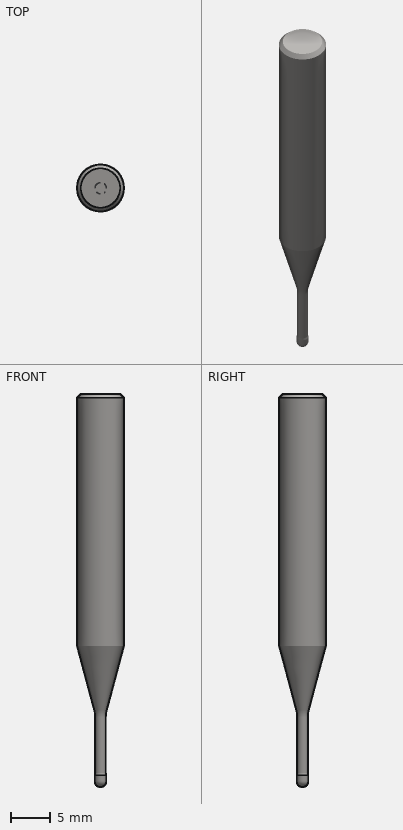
import cadquery as cq
import math

overall_length = 50.0
shank_diameter = 6.0
shank_chamfer = 0.5
ball_diameter = 1.5
cutting_length = 1.5
neck_diameter = 1.4
relief_half_angle = 10.0
reach = 9.0
taper_half_angle = 15.0
neck_fillet_radius = 3.0

shank_radius = shank_diameter / 2
ball_radius = ball_diameter / 2
neck_radius = neck_diameter / 2

tip_z = -overall_length / 2
ball_center_z = tip_z + ball_radius
cutting_top_z = tip_z + cutting_length
relief_length = (ball_radius - neck_radius) / math.tan(math.radians(relief_half_angle))
neck_bottom_z = cutting_top_z + relief_length
neck_top_z = tip_z + reach
shank_top_z = tip_z + overall_length


def arc_point(center_r, center_z, radius, angle):
    """Point (r, z) on an arc, with the angle in degrees from the outward radial direction."""
    turn = math.radians(angle)
    return center_r + radius * math.cos(turn), center_z + radius * math.sin(turn)


def make_cutting_head():
    """Half ball below a short cylinder of the same diameter."""
    ball_middle = arc_point(0, ball_center_z, ball_radius, -45)
    return (
        cq.Workplane("XZ")
        .moveTo(0, tip_z)
        .threePointArc(ball_middle, (ball_radius, ball_center_z))
        .lineTo(ball_radius, cutting_top_z)
        .lineTo(0, cutting_top_z)
        .close()
        .revolve(360, (0, 0), (0, 1))
    )


def make_shank():
    """Relief taper, neck, concave fillet, cone and chamfered shank in one turned body."""
    fillet_center_r = neck_radius + neck_fillet_radius
    fillet_middle = arc_point(fillet_center_r, neck_top_z, neck_fillet_radius, 180 - taper_half_angle / 2)
    fillet_end = arc_point(fillet_center_r, neck_top_z, neck_fillet_radius, 180 - taper_half_angle)
    cone_height = (shank_radius - fillet_end[0]) / math.tan(math.radians(taper_half_angle))
    cone_top_z = fillet_end[1] + cone_height
    return (
        cq.Workplane("XZ")
        .moveTo(0, cutting_top_z)
        .lineTo(ball_radius, cutting_top_z)
        .lineTo(neck_radius, neck_bottom_z)
        .lineTo(neck_radius, neck_top_z)
        .threePointArc(fillet_middle, fillet_end)
        .lineTo(shank_radius, cone_top_z)
        .lineTo(shank_radius, shank_top_z - shank_chamfer)
        .lineTo(shank_radius - shank_chamfer, shank_top_z)
        .lineTo(0, shank_top_z)
        .close()
        .revolve(360, (0, 0), (0, 1))
    )


cutting_head = make_cutting_head()
shank = make_shank()

result = cq.Compound.makeCompound([cutting_head.val(), shank.val()])